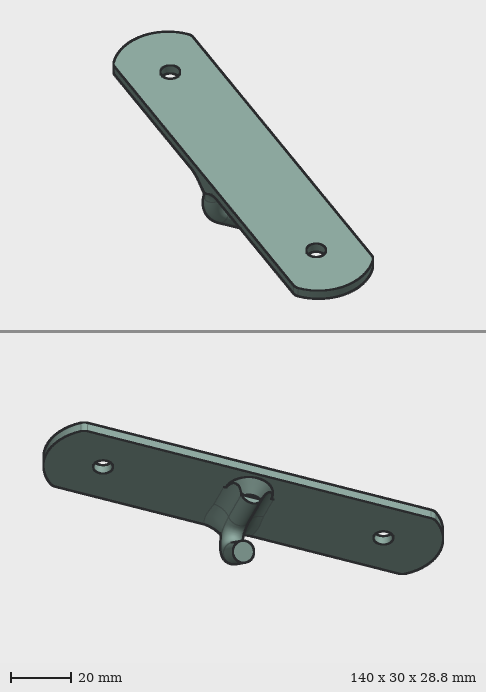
import cadquery as cq
import math

plate_length = 140.0
plate_width = 30.0
plate_thickness = 3.8
end_radius = 18.5
corner_radius = 3.2
hole_spacing = 100.0
hole_diameter = 6.6

rod_diameter = 7.4
rod_bottom_depth = 10.5
rod_end_y = 7.8
bend_radius = 7.0
bend_angle = 143.5
leg_length = 10.8

flare_radius = 6.0
flare_depth = 8.3
cone_center_y = 5.0
cone_tip_radius = 3.6

half_width = plate_width / 2
rod_radius = rod_diameter / 2
rod_z = rod_radius - rod_bottom_depth
bend_y = -half_width + rod_radius + bend_radius
bend_z = rod_z - bend_radius

ball_z = -plate_thickness - flare_radius
ball_rod_distance = rod_radius + flare_radius
contact_share = rod_radius / ball_rod_distance
straight_ball_x = math.sqrt(ball_rod_distance**2 - (ball_z - rod_z) ** 2)
path_steps = 10
path_reach = math.sqrt((bend_radius + ball_rod_distance) ** 2 - (ball_z - bend_z) ** 2)
ball_clearance = 0.01


def make_plate():
    end_x = plate_length / 2
    corner_x = end_x - end_radius + math.sqrt(end_radius**2 - half_width**2)
    return (
        cq.Workplane("XY")
        .moveTo(-corner_x, -half_width)
        .lineTo(corner_x, -half_width)
        .threePointArc((end_x, 0), (corner_x, half_width))
        .lineTo(-corner_x, half_width)
        .threePointArc((-end_x, 0), (-corner_x, -half_width))
        .close()
        .extrude(-plate_thickness)
        .edges("|Z")
        .fillet(corner_radius)
    )


def bend_point(turn):
    """Point (y, z) on the bend centreline after turning by the given degrees."""
    angle = math.radians(turn)
    return bend_y - bend_radius * math.sin(angle), bend_z + bend_radius * math.cos(angle)


def make_rod(start_y):
    turn = math.radians(bend_angle)
    bend_end = bend_point(bend_angle)
    leg_end = (
        bend_end[0] - leg_length * math.cos(turn),
        bend_end[1] - leg_length * math.sin(turn),
    )
    path = (
        cq.Workplane("YZ")
        .moveTo(start_y, rod_z)
        .lineTo(bend_y, rod_z)
        .threePointArc(bend_point(bend_angle / 2), bend_end)
        .lineTo(*leg_end)
    )
    return cq.Workplane("XZ", origin=(0, start_y, rod_z)).circle(rod_radius).sweep(path)


def bend_ball(reach):
    """Ball centre x, and its rod contact (y, z), at a distance in front of the bend centre."""
    rise = ball_z - bend_z
    axis_distance = math.hypot(reach, rise)
    ball_x_squared = ball_rod_distance**2 - (axis_distance - bend_radius) ** 2
    ball_x = math.sqrt(max(ball_x_squared, 0))
    contact_distance = bend_radius + (axis_distance - bend_radius) * contact_share
    contact_scale = contact_distance / axis_distance
    return ball_x, bend_y - reach * contact_scale, bend_z + rise * contact_scale


def make_flare():
    """Concave blend from rod to plate, cut flush at the front and ended by a cone behind."""
    back_y = half_width
    turns = [math.pi / 2 * step / path_steps for step in range(1, path_steps + 1)]
    reaches = [path_reach * math.sin(turn) for turn in turns]
    balls = [bend_ball(reach) for reach in reaches]
    ball_points = [(ball[0], bend_y - reach) for ball, reach in zip(balls, reaches)]
    overrun_point = (-ball_points[-2][0], ball_points[-2][1])
    contacts = [ball[1:] for ball in balls]
    straight_contact_z = rod_z + (ball_z - rod_z) * contact_share

    ball_path = (
        cq.Workplane("XY", origin=(0, 0, ball_z))
        .moveTo(straight_ball_x, back_y)
        .lineTo(straight_ball_x, bend_y)
        .spline(ball_points + [overrun_point], includeCurrent=True)
    )
    channel = (
        cq.Workplane("XZ", origin=(straight_ball_x, back_y, ball_z))
        .circle(flare_radius + ball_clearance)
        .sweep(ball_path)
    )
    plan = (
        cq.Workplane("XY")
        .moveTo(0, back_y)
        .lineTo(straight_ball_x, back_y)
        .lineTo(straight_ball_x, bend_y)
        .spline(ball_points, includeCurrent=True)
        .close()
        .extrude(-rod_bottom_depth - rod_diameter)
    )
    side = (
        cq.Workplane("YZ")
        .moveTo(back_y, -plate_thickness / 2)
        .lineTo(back_y, straight_contact_z)
        .lineTo(bend_y, straight_contact_z)
        .spline(contacts, includeCurrent=True)
        .lineTo(-half_width, contacts[-1][1])
        .lineTo(-half_width, -plate_thickness / 2)
        .close()
        .extrude(straight_ball_x + flare_radius)
    )
    half_flare = plan.intersect(side).cut(channel).cut(channel.mirror("YZ"))

    cone_height = flare_depth - plate_thickness
    back_cone = (
        cq.Workplane("XY", origin=(0, cone_center_y, -flare_depth))
        .circle(cone_tip_radius)
        .workplane(offset=cone_height)
        .circle(cone_tip_radius + cone_height)
        .loft()
    )
    front_block = cq.Workplane("XY").box(
        plate_width, cone_center_y + half_width, plate_width, centered=(True, False, True)
    ).translate((0, -half_width, 0))
    flare = half_flare.union(half_flare.mirror("YZ"))
    return flare.intersect(front_block.union(back_cone))


result = make_plate().union(make_rod(rod_end_y)).union(make_flare())
holes = (
    cq.Workplane("XY")
    .pushPoints([(-hole_spacing / 2, 0), (hole_spacing / 2, 0)])
    .circle(hole_diameter / 2)
    .extrude(-plate_thickness)
)
result = result.cut(holes)